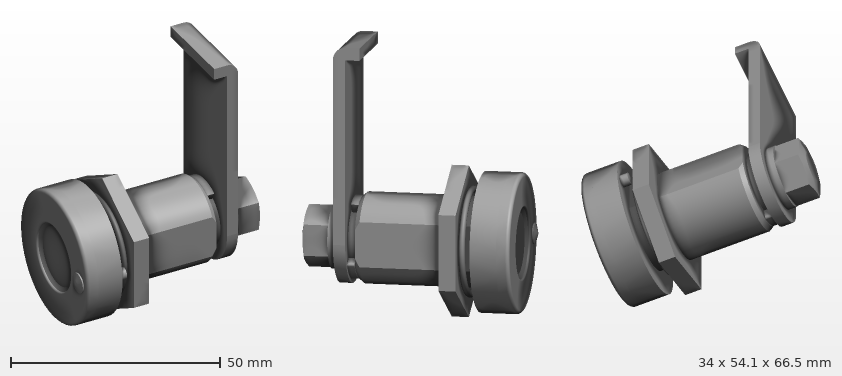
import cadquery as cq
import math


OVERALL_HEIGHT = 66.5

HEAD_DIAMETER = 34.0
HEAD_RADIUS = HEAD_DIAMETER / 2
FLANGE_THICKNESS = 6.45
COVER_THICKNESS = 3.2
COVER_EDGE_FILLET = 0.9
RECESS_RIM_RADIUS = 9.1
RECESS_RIM_FILLET = 0.5
RECESS_FLOOR_RADIUS = 7.6
RECESS_DEPTH = 1.2

RIVET_X = 12.9
RIVET_RADIUS = 2.6
RIVET_RIM_HEIGHT = 0.3
RIVET_CONE_HEIGHT = 0.8

BARREL_RADIUS = 11.05
BARREL_FLATS = 19.15
BARREL_END = 29.45
BARREL_CHAMFER_RADIAL = 0.85
BARREL_CHAMFER_LENGTH = 1.1
LOCATING_PIN_X = 14.0
LOCATING_PIN_RADIUS = 1.5
LOCATING_PIN_LENGTH = 2

NUT_FLATS = 32.0
NUT_FRONT = 3.6
NUT_THICKNESS = 4.2
NUT_CORNER_RADIUS = NUT_FLATS / math.sqrt(3)
RING_TUBE_RADIUS = 0.8
RING_OUTER_RADIUS = 13.4

CORE_SHAFT_RADIUS = 6.65
CORE_FLANGE_RADIUS = 7.8
CORE_FLANGE_GAP = 0.25
STOP_RADIUS = BARREL_RADIUS - BARREL_CHAMFER_RADIAL
HOUSING_STOP_ANGLES = (60, 120)
CORE_STOP_ANGLES = (210, 250)
CORE_STOP_FILLET = 0.5
STOP_CLEARANCE = 0.2

CAM_FRONT = 31.5
CAM_THICKNESS = 3.0
CAM_HALF_WIDTH = BARREL_RADIUS
CAM_LIP_FRONT = 28.05
CAM_TOP = OVERALL_HEIGHT - NUT_CORNER_RADIUS
CAM_BACK = CAM_FRONT + CAM_THICKNESS

WASHER_RADIUS = 7.8
WASHER_THICKNESS = 2.05
BOLT_FLATS = 13.15
BOLT_HEAD_HEIGHT = 6.85
BOLT_DOME_RADIUS = 26.6
BOLT_END_FLAT_RADIUS = 3.7
BOLT_SHANK_RADIUS = 3.0
BOLT_TIP = 19.95
WASHER_BACK = CAM_BACK + WASHER_THICKNESS
BOLT_END = WASHER_BACK + BOLT_HEAD_HEIGHT

FLANGE_FRONT = -FLANGE_THICKNESS
COVER_FRONT = FLANGE_FRONT - COVER_THICKNESS


def section_at(y):
    """Sketch plane across the lock axis; extrude a negative length to go towards +Y."""
    return cq.Workplane("XZ", origin=(0, y, 0))


def rod(radius, y_start, y_end, x=0):
    """Cylinder parallel to the lock axis."""
    return section_at(y_start).center(x, 0).circle(radius).extrude(y_start - y_end)


def hexagon(flats, y_start, y_end):
    """Hexagonal prism on the lock axis with two corners on the Z axis."""
    corner_diameter = 2 * flats / math.sqrt(3)
    prism = section_at(y_start).polygon(6, corner_diameter).extrude(y_start - y_end)
    return prism.rotate((0, 0, 0), (0, 1, 0), 30)


def wedge(radius, angles, y_start, y_end):
    """Pie slice from the lock axis out to a radius, angles in degrees from +X towards +Z."""
    start, end = (math.radians(a) for a in angles)
    middle = (start + end) / 2
    first, centre, last = ((radius * math.cos(a), radius * math.sin(a)) for a in (start, middle, end))
    outline = section_at(y_start).moveTo(0, 0).lineTo(*first).threePointArc(centre, last).close()
    return outline.extrude(y_start - y_end)


def make_housing():
    barrel = rod(BARREL_RADIUS, 0, BARREL_END)
    chamfer = cq.Workplane("XY").polyline([
        (BARREL_RADIUS, BARREL_END - BARREL_CHAMFER_LENGTH),
        (BARREL_RADIUS, BARREL_END),
        (STOP_RADIUS, BARREL_END),
    ]).close().revolve(360, (0, 0), (0, 1))
    flats = cq.Workplane("XY").box(BARREL_FLATS, 4 * BARREL_END, 4 * BARREL_RADIUS)
    barrel = barrel.cut(chamfer).intersect(flats)

    stop = wedge(STOP_RADIUS, HOUSING_STOP_ANGLES, BARREL_END, CAM_FRONT - STOP_CLEARANCE)
    stop = stop.cut(rod(CORE_FLANGE_RADIUS, BARREL_END, CAM_FRONT))

    flange = rod(HEAD_RADIUS, FLANGE_FRONT, 0)
    locating_pin = rod(LOCATING_PIN_RADIUS, 0, LOCATING_PIN_LENGTH, LOCATING_PIN_X)
    bore = rod(CORE_SHAFT_RADIUS, FLANGE_FRONT, BARREL_END)
    return flange.union(locating_pin).union(barrel).union(stop).cut(bore)


def make_cover():
    cover = rod(HEAD_RADIUS, COVER_FRONT, FLANGE_FRONT).faces("<Y").edges().fillet(COVER_EDGE_FILLET)
    rivet_hole = rod(RIVET_RADIUS, COVER_FRONT, FLANGE_FRONT, RIVET_X)

    wall_radius = RECESS_RIM_RADIUS - RECESS_RIM_FILLET
    wall_front = COVER_FRONT + RECESS_RIM_FILLET
    floor = COVER_FRONT + RECESS_DEPTH
    bend = RECESS_RIM_FILLET * math.sqrt(0.5)
    rim_middle = (RECESS_RIM_RADIUS - bend, wall_front - bend)
    recess = (
        cq.Workplane("XY")
        .moveTo(0, COVER_FRONT)
        .lineTo(RECESS_RIM_RADIUS, COVER_FRONT)
        .threePointArc(rim_middle, (wall_radius, wall_front))
        .lineTo(RECESS_FLOOR_RADIUS, floor)
        .lineTo(0, floor)
        .close()
        .revolve(360, (0, 0), (0, 1))
    )
    return cover.cut(rivet_hole).cut(recess)


def make_rivet():
    rim_front = COVER_FRONT - RIVET_RIM_HEIGHT
    profile = cq.Workplane("XY").polyline([
        (0, FLANGE_FRONT),
        (RIVET_RADIUS, FLANGE_FRONT),
        (RIVET_RADIUS, rim_front),
        (0, rim_front - RIVET_CONE_HEIGHT),
    ]).close()
    return profile.revolve(360, (0, 0), (0, 1)).translate((RIVET_X, 0, 0))


def make_sealing_ring():
    centre = (RING_OUTER_RADIUS - RING_TUBE_RADIUS, NUT_FRONT - RING_TUBE_RADIUS)
    tube = cq.Workplane("XY").moveTo(*centre).circle(RING_TUBE_RADIUS)
    return tube.revolve(360, (0, 0), (0, 1))


def make_nut():
    nut_back = NUT_FRONT + NUT_THICKNESS
    return hexagon(NUT_FLATS, NUT_FRONT, nut_back).cut(rod(BARREL_RADIUS, NUT_FRONT, nut_back))


def make_core():
    flange_front = BARREL_END + CORE_FLANGE_GAP
    shaft = rod(CORE_SHAFT_RADIUS, FLANGE_FRONT, CAM_FRONT)
    flange = rod(CORE_FLANGE_RADIUS, flange_front, CAM_FRONT)
    stop = wedge(STOP_RADIUS, CORE_STOP_ANGLES, flange_front, CAM_FRONT)
    stop = stop.edges("|Y").edges("not >Z").fillet(CORE_STOP_FILLET)
    return shaft.union(flange).union(stop).cut(rod(BOLT_SHANK_RADIUS, BOLT_TIP, CAM_FRONT))


def make_cam():
    arm_height = CAM_TOP - CAM_THICKNESS
    arm = (
        section_at(CAM_FRONT)
        .moveTo(CAM_HALF_WIDTH, 0)
        .lineTo(CAM_HALF_WIDTH, arm_height)
        .lineTo(-CAM_HALF_WIDTH, arm_height)
        .lineTo(-CAM_HALF_WIDTH, 0)
        .threePointArc((0, -CAM_HALF_WIDTH), (CAM_HALF_WIDTH, 0))
        .close()
        .extrude(-CAM_THICKNESS)
    )
    bend = CAM_THICKNESS * math.sqrt(0.5)
    lip = (
        cq.Workplane("YZ", origin=(-CAM_HALF_WIDTH, 0, 0))
        .moveTo(CAM_BACK, arm_height)
        .threePointArc((CAM_FRONT + bend, arm_height + bend), (CAM_FRONT, CAM_TOP))
        .lineTo(CAM_LIP_FRONT, CAM_TOP)
        .lineTo(CAM_LIP_FRONT, arm_height)
        .close()
        .extrude(2 * CAM_HALF_WIDTH)
    )
    return arm.union(lip).cut(rod(BOLT_SHANK_RADIUS, CAM_FRONT, CAM_BACK))


def make_washer():
    disc = rod(WASHER_RADIUS, CAM_BACK, WASHER_BACK)
    return disc.cut(rod(BOLT_SHANK_RADIUS, CAM_BACK, WASHER_BACK))


def make_bolt():
    dome_centre = BOLT_END - math.sqrt(BOLT_DOME_RADIUS**2 - BOLT_END_FLAT_RADIUS**2)
    dome = cq.Workplane("XY").sphere(BOLT_DOME_RADIUS).translate((0, dome_centre, 0))
    head = hexagon(BOLT_FLATS, WASHER_BACK, BOLT_END).intersect(dome)
    return head.union(rod(BOLT_SHANK_RADIUS, BOLT_TIP, WASHER_BACK))


housing = make_housing()
cover = make_cover()
rivet = make_rivet()
sealing_ring = make_sealing_ring()
nut = make_nut()
core = make_core()
cam = make_cam()
washer = make_washer()
bolt = make_bolt()

result = cq.Compound.makeCompound([
    housing.val(),
    cover.val(),
    rivet.val(),
    sealing_ring.val(),
    nut.val(),
    core.val(),
    cam.val(),
    washer.val(),
    bolt.val(),
])